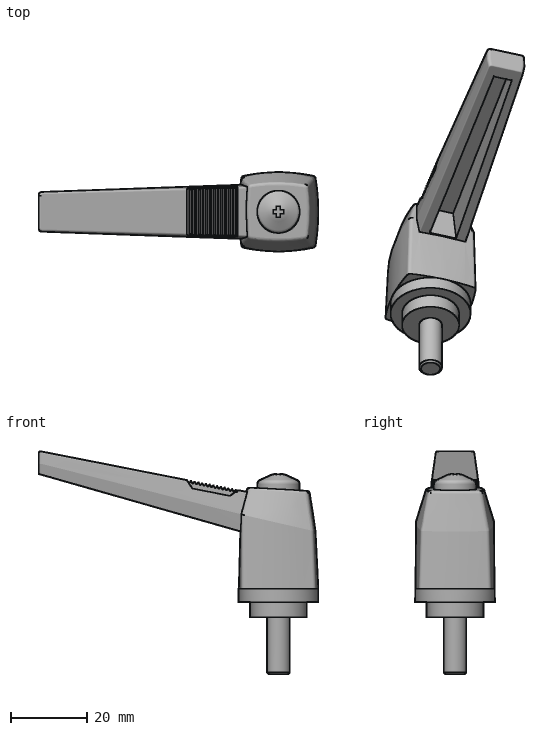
import cadquery as cq
import math


flange_diameter = 21.0
flange_height = 3.5
collar_diameter = 15.0
collar_height = 4.0
stud_diameter = 6.0
stud_length = 15.0
stud_chamfer = 0.5

base_corners = 9.7, 9.7, 9.3
base_bows = 0.7, 0.8, 1.1
parting_corners = 9.7, 9.1, 8.8
parting_bows = 0.2, 0.7, 1.5
parting_height, parting_slope = 17.3, -0.23
top_corners = 7.8, 7.65, 7.0
top_bows = 0.4, 0.5, 0.65
top_height, top_slope = 26.2, -0.057
hub_corner_radius = 1.0
hub_top_radius = 0.9

arm_tip_x = -63.0
arm_root_x = -6.6
tip_top_z, tip_parting_z, tip_bottom_z = 36.2, 33.0, 30.1
top_fall, parting_fall, bottom_fall = 0.197, 0.253, 0.285
tip_top_half, tip_parting_half, tip_bottom_half = 5.1, 5.2, 4.7
top_flare, parting_flare, bottom_flare = 0.027, 0.036, 0.032
arm_tip_radius = 0.9
arm_top_radius = 0.5
arm_bottom_radius = 0.3

pocket_tip_x = -59.9
pocket_hub_x = -10.3
pocket_half = 2.5
pocket_flare = 0.023
pocket_draft = 0.1
pocket_roof = 2.35

rib_count = 13
rib_pitch = 1.0
rib_depth = 0.65
valley_offset = 0.1
crest_offset = 0.5
grip_start_x = -23.45
grip_lead_in = 0.65
grip_half_width = 6.2
grip_side_depth = 1.9
grip_side_start = 1.25
grip_side_end = 1.7

screw_diameter = 11.2
screw_shoulder_z = 27.5
screw_cone_radius = 4.85
screw_cone_z = 28.6
screw_cap_diameter = 5.5
screw_cap_z = 29.55
screw_top_z = 30.3
cross_span = 2.8
cross_arm_width = 1.0
cross_depth = 1.2

cut_overlap = 0.2
arm_clearance = 14.7


def bowed_section(corners, bows, height, slope):
    """Closed wire of four arcs with rounded corners, on the plane z = height + slope * x."""

    def on_plane(x, y):
        return cq.Vector(x, y, height + slope * x)

    left, right, half_y = corners
    bow_left, bow_right, bow_y = bows
    middle = (right - left) / 2
    points = [(-left, -half_y), (right, -half_y), (right, half_y), (-left, half_y)]
    crowns = [
        (middle, -half_y - bow_y),
        (right + bow_right, 0),
        (middle, half_y + bow_y),
        (-left - bow_left, 0),
    ]
    sides = []
    for i, crown in enumerate(crowns):
        start, end = points[i], points[(i + 1) % 4]
        sides.append(cq.Edge.makeThreePointArc(on_plane(*start), on_plane(*crown), on_plane(*end)))
    section = cq.Wire.assembleEdges(sides)
    return section.fillet2D(hub_corner_radius, section.Vertices())


def make_hub():
    base = bowed_section(base_corners, base_bows, 0, 0)
    parting = bowed_section(parting_corners, parting_bows, parting_height, parting_slope)
    top = bowed_section(top_corners, top_bows, top_height, top_slope)
    hub = cq.Workplane(cq.Solid.makeLoft([base, parting, top], True))
    return hub.faces(">Z").edges().fillet(hub_top_radius)


def arm_top_z(x):
    return tip_top_z - top_fall * (x - arm_tip_x)


def arm_bottom_z(x):
    return tip_bottom_z - bottom_fall * (x - arm_tip_x)


def section_wire(x, half_profile):
    """Closed wire at x, from (y, z) points of its +Y half listed from top to bottom."""
    mirrored = [(-y, z) for y, z in reversed(half_profile)]
    points = [cq.Vector(x, y, z) for y, z in half_profile + mirrored]
    return cq.Wire.makePolygon(points, close=True)


def arm_section(x):
    run = x - arm_tip_x
    return section_wire(
        x,
        [
            (tip_top_half + top_flare * run, arm_top_z(x)),
            (tip_parting_half + parting_flare * run, tip_parting_z - parting_fall * run),
            (tip_bottom_half + bottom_flare * run, arm_bottom_z(x)),
        ],
    )


def pocket_section(x):
    roof_z = arm_top_z(x) - pocket_roof
    floor_z = arm_bottom_z(x) - cut_overlap
    half = pocket_half + pocket_flare * (x - pocket_tip_x)
    roof_half = half - pocket_draft * (roof_z - arm_bottom_z(x))
    return section_wire(x, [(roof_half, roof_z), (half + pocket_draft * cut_overlap, floor_z)])


def make_grip_cuts():
    """V grooves between the ribs, and the cuts that straighten the arm sides beside them."""
    along = cq.Vector(1, 0, -top_fall).normalized()
    origin = (grip_start_x, 0, arm_top_z(grip_start_x))
    plane = cq.Plane(origin=origin, xDir=along.toTuple(), normal=(0, -1, 0))
    zigzag = [(-grip_lead_in, 0)]
    for i in range(rib_count):
        zigzag.append(((i + valley_offset) * rib_pitch, -rib_depth))
        zigzag.append(((i + crest_offset) * rib_pitch, 0))
    length = rib_count * rib_pitch
    zigzag += [
        (length - valley_offset * rib_pitch, -rib_depth),
        (length, 0),
        (length, cut_overlap),
        (-grip_lead_in, cut_overlap),
    ]
    grooves = cq.Workplane(plane).polyline(zigzag).close().extrude(arm_clearance, both=True)

    side = [
        (-grip_lead_in - cut_overlap, cut_overlap),
        (grip_side_start, -grip_side_depth),
        (length - grip_side_end, -grip_side_depth),
        (length + cut_overlap, cut_overlap),
    ]
    sides = cq.Workplane(plane).polyline(side).close().extrude(arm_clearance, both=True)
    kept = cq.Workplane(plane).rect(4 * arm_clearance, 4 * arm_clearance).extrude(grip_half_width, both=True)
    return grooves.union(sides.cut(kept))


def make_arm():
    arm = cq.Workplane(cq.Solid.makeLoft([arm_section(arm_tip_x), arm_section(arm_root_x)], True))
    arm = arm.faces("<X").edges("not |Y").fillet(arm_tip_radius)
    upper_face = max(arm.faces().vals(), key=lambda face: face.normalAt().z)
    arm = arm.newObject([upper_face]).edges("not >X").fillet(arm_top_radius)
    lower_face = min(arm.faces().vals(), key=lambda face: face.normalAt().z)
    arm = arm.newObject([lower_face]).edges("not >X").fillet(arm_bottom_radius)
    pocket = cq.Solid.makeLoft([pocket_section(pocket_tip_x), pocket_section(pocket_hub_x)], True)
    return arm.cut(cq.Workplane(pocket)).cut(make_grip_cuts())


def make_screw():
    radius = screw_diameter / 2
    cap_radius = screw_cap_diameter / 2
    cap_rise = screw_top_z - screw_cap_z
    cap_sphere = (cap_radius**2 + cap_rise**2) / (2 * cap_rise)
    cap_middle_x = cap_radius / 2
    cap_middle_z = screw_top_z - cap_sphere + math.sqrt(cap_sphere**2 - cap_middle_x**2)
    profile = (
        cq.Workplane("XZ")
        .moveTo(0, parting_height)
        .lineTo(radius, parting_height)
        .lineTo(radius, screw_shoulder_z)
        .tangentArcPoint((screw_cone_radius, screw_cone_z), relative=False)
        .lineTo(cap_radius, screw_cap_z)
        .threePointArc((cap_middle_x, cap_middle_z), (0, screw_top_z))
        .close()
    )
    screw = profile.revolve(360, (0, 0, 0), (0, 1, 0))
    arms = cq.Workplane().box(cross_span, cross_arm_width, 2 * cross_depth)
    cross = arms.union(arms.rotate((0, 0, 0), (0, 0, 1), 90)).translate((0, 0, screw_top_z))
    return screw.cut(cross)


def make_mount():
    mount = cq.Workplane().circle(flange_diameter / 2).extrude(-flange_height)
    mount = mount.faces("<Z").workplane().circle(collar_diameter / 2).extrude(collar_height)
    mount = mount.faces("<Z").workplane().circle(stud_diameter / 2).extrude(stud_length)
    return mount.faces("<Z").chamfer(stud_chamfer)


result = make_hub().union(make_arm()).union(make_screw()).union(make_mount())